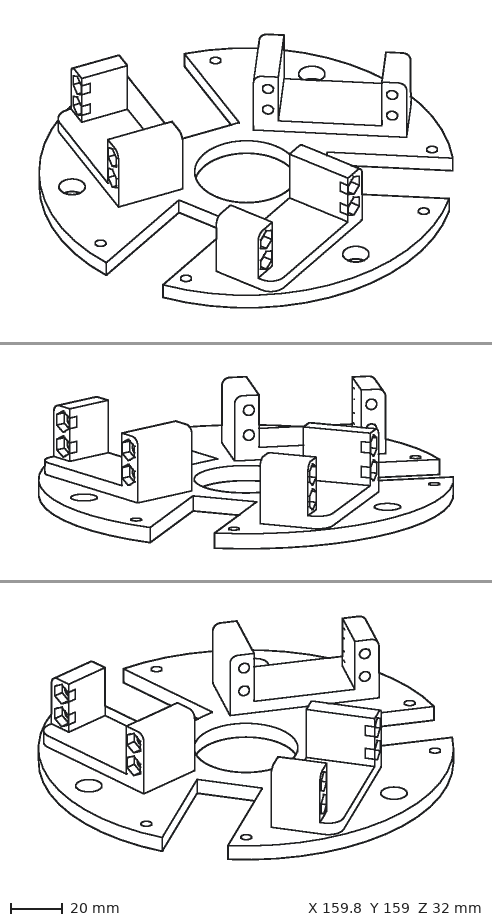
import cadquery as cq

DISC_DIAMETER = 159.8
DISC_THICKNESS = 6.0
BORE_DIAMETER = 40.0
ARM_COUNT = 3

SLOT_LEFT = -11.0
SLOT_RIGHT = 15.0
SLOT_FLOOR_RADIUS = 29.9

SMALL_HOLE_DIAMETER = 4.2
SMALL_HOLE_OFFSET = 20.0
SMALL_HOLE_Y = -70.0
LARGE_HOLE_DIAMETER = 10.0
LARGE_HOLE_X = 64.9
LARGE_HOLE_Y = -20.0

BRACKET_X = 27.0
BRACKET_Y = -0.5
BRACKET_WIDTH = 27.3
BRACKET_LENGTH = 59.1
FLOOR_THICKNESS = 5.0
FLOOR_CORNER_RADIUS = 6.2
TOTAL_HEIGHT = 32.0
WALL_THICKNESS = 9.6
SHORT_WALL_WIDTH = 19.5
WALL_TOP_RADIUS = 3.2

SCREW_DIAMETER = 4.2
SCREW_INSET = 4.0
SCREW_HEIGHTS = (16.1, 26.0)
NUT_CORNER_DIAMETER = 8.5
NUT_POCKET_DEPTH = 3.8
HEXAGON_SIDES = 6
HEXAGON_TURN = 180 / HEXAGON_SIDES

bracket_end_y = BRACKET_Y - BRACKET_LENGTH


def around_disc(shape):
    """Return the shape repeated at equal angles about the disc axis."""
    copies = cq.Workplane("XY")
    for index in range(ARM_COUNT):
        copies = copies.add(shape.rotate((0, 0, 0), (0, 0, 1), index * 360 / ARM_COUNT))
    return copies.combine()


def block(x_min, y_min, z_min, x_size, y_size, z_size):
    """Return a box located by its lowest corner."""
    return cq.Workplane("XY").box(x_size, y_size, z_size, centered=False).translate((x_min, y_min, z_min))


def disc_hole(diameter, points):
    """Return cutters for vertical holes through the disc."""
    return cq.Workplane("XY").pushPoints(points).circle(diameter / 2).extrude(DISC_THICKNESS)


def make_disc():
    """Return the disc with its bore, slots and plain holes."""
    disc_radius = DISC_DIAMETER / 2
    disc = cq.Workplane("XY").circle(disc_radius).circle(BORE_DIAMETER / 2).extrude(DISC_THICKNESS)
    slot_length = disc_radius - SLOT_FLOOR_RADIUS
    slot = block(SLOT_LEFT, -disc_radius, 0, SLOT_RIGHT - SLOT_LEFT, slot_length, DISC_THICKNESS)
    small_points = [(side * SMALL_HOLE_OFFSET, SMALL_HOLE_Y) for side in (-1, 1)]
    small_holes = disc_hole(SMALL_HOLE_DIAMETER, small_points)
    large_hole = disc_hole(LARGE_HOLE_DIAMETER, [(LARGE_HOLE_X, LARGE_HOLE_Y)])
    for cutter in (slot, small_holes, large_hole):
        disc = disc.cut(around_disc(cutter))
    return disc


def make_wall(y_min, width, outer_side):
    """Return an upright wall whose outer top edge is rounded."""
    height = TOTAL_HEIGHT - DISC_THICKNESS
    wall = block(BRACKET_X, y_min, DISC_THICKNESS, width, WALL_THICKNESS, height)
    return wall.faces(outer_side).edges(">Z").fillet(WALL_TOP_RADIUS)


def cut_screw(wall, wall_width, y, z):
    """Cut one screw hole along X and its nut pocket in the +X end of the wall."""
    wall_end = BRACKET_X + wall_width
    hole = cq.Workplane("YZ").circle(SCREW_DIAMETER / 2).extrude(wall_width)
    pocket = cq.Workplane("YZ").polygon(HEXAGON_SIDES, NUT_CORNER_DIAMETER).extrude(-NUT_POCKET_DEPTH)
    pocket = pocket.rotate((0, 0, 0), (1, 0, 0), HEXAGON_TURN)
    return wall.cut(hole.translate((BRACKET_X, y, z))).cut(pocket.translate((wall_end, y, z)))


def make_bracket():
    """Return one bracket: floor, full-width wall and short wall."""
    floor = block(
        BRACKET_X, bracket_end_y, DISC_THICKNESS, BRACKET_WIDTH, BRACKET_LENGTH, FLOOR_THICKNESS
    )
    floor = floor.edges("|Z and >X and <Y").fillet(FLOOR_CORNER_RADIUS)
    full_wall_y = BRACKET_Y - WALL_THICKNESS
    full_wall = make_wall(full_wall_y, BRACKET_WIDTH, ">Y")
    short_wall = make_wall(bracket_end_y, SHORT_WALL_WIDTH, "<Y")
    short_wall_inner_y = bracket_end_y + WALL_THICKNESS
    for z in SCREW_HEIGHTS:
        full_wall = cut_screw(full_wall, BRACKET_WIDTH, full_wall_y + SCREW_INSET, z)
        short_wall = cut_screw(short_wall, SHORT_WALL_WIDTH, short_wall_inner_y - SCREW_INSET, z)
    return floor.union(full_wall).union(short_wall)


result = make_disc().union(around_disc(make_bracket()))